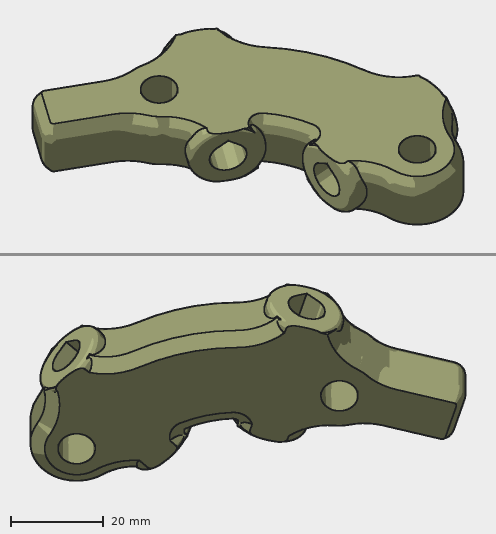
import cadquery as cq
import math

thickness = 15.11
pivot_offset = 29.2
pivot_hole_diameter = 8.0
lobe_radius = 10.0
hollow_radius = 12.5

hub = (0.0, -27.0)
barrel_tilt = 30.0
barrel_radius = 8.65
barrel_rim_radius = 1.5
barrel_start = 22.3
barrel_end = 53.45
bore_radius = 4.1
bore_apex_height = 5.05

neck_overshoot = 3.0
neck_setback = 0.5

crown_radius = 49.2
arch_radius = 25.75
arch_side = 6.8
arch_corner_radius = 1.0

shoulder_angle = 45.0
belly_hollow_x = 21.5
crown_hollow_x = 14.6

arm_angle = 210.0
arm_half_width = 7.0
arm_length = 27.0
arm_corner_radius = 2.75

edge_inset = 2.0
edge_drop = 3.1
edge_round_radius = 4.0


def polar(center, radius, angle):
    a = math.radians(angle)
    return (center[0] + radius * math.cos(a), center[1] + radius * math.sin(a))


def direction(start, end):
    return math.degrees(math.atan2(end[1] - start[1], end[0] - start[0]))


def mirrored(point):
    return (-point[0], point[1])


def barrel_point(side, along, across):
    """Point beside a barrel axis: side is +1 (right) or -1 (left), across is positive outward."""
    tilt = math.radians(barrel_tilt)
    x = along * math.sin(tilt) + across * math.cos(tilt)
    y = along * math.cos(tilt) - across * math.sin(tilt)
    return (hub[0] + side * x, hub[1] + y)


def hollow_end(center, along, outward):
    """Point of a right-hand hollow at a given distance along the right barrel axis."""
    tilt = math.radians(barrel_tilt)
    dx = center[0] - hub[0]
    dy = center[1] - hub[1]
    center_along = dx * math.sin(tilt) + dy * math.cos(tilt)
    center_across = dx * math.cos(tilt) - dy * math.sin(tilt)
    half_chord = math.sqrt(hollow_radius**2 - (along - center_along) ** 2)
    return barrel_point(1, along, center_across - outward * half_chord)


def bend(path, center, radius, end, start):
    """Arc to end about center, through the middle of the shorter way round from start."""
    a = direction(center, start)
    sweep = (direction(center, end) - a + 180) % 360 - 180
    return path.threePointArc(polar(center, radius, a + sweep / 2), end)


def plate_outline():
    pivot = (pivot_offset, 0.0)
    left_pivot = mirrored(pivot)
    reach = lobe_radius + hollow_radius
    neck_top = barrel_end + neck_overshoot
    neck_bottom = barrel_start - neck_overshoot

    shoulder = polar(pivot, reach, shoulder_angle)
    belly = (belly_hollow_x, -math.sqrt(reach**2 - (pivot_offset - belly_hollow_x) ** 2))
    crown_reach = crown_radius + hollow_radius
    saddle = (crown_hollow_x, hub[1] + math.sqrt(crown_reach**2 - crown_hollow_x**2))
    arm_spread = math.degrees(math.asin((arm_half_width + hollow_radius) / reach))
    armpit_top = polar(left_pivot, reach, arm_angle - arm_spread)
    armpit_bottom = polar(left_pivot, reach, arm_angle + arm_spread)

    corner_reach = arch_radius - arch_corner_radius
    corner_across = arch_side + arch_corner_radius
    corner_along = math.sqrt(corner_reach**2 - corner_across**2)
    arch_corner = barrel_point(1, corner_along, -corner_across)
    arch_end = polar(hub, arch_radius, direction(hub, arch_corner))
    corner_end = barrel_point(1, corner_along, -arch_side)
    arch_neck = barrel_point(1, neck_bottom, -arch_side)
    belly_start = hollow_end(belly, neck_bottom, 1)
    lobe_start = polar(pivot, lobe_radius, direction(pivot, belly))
    lobe_end = polar(pivot, lobe_radius, shoulder_angle)
    shoulder_end = hollow_end(shoulder, neck_top, 1)
    saddle_start = hollow_end(saddle, neck_top, -1)
    crown_start = polar(hub, crown_radius, direction(hub, saddle))
    lobe_top = polar(left_pivot, lobe_radius, direction(left_pivot, armpit_top))
    lobe_bottom = polar(left_pivot, lobe_radius, direction(left_pivot, armpit_bottom))
    arm_top = polar(armpit_top, hollow_radius, arm_angle + 90)
    arm_bottom = polar(armpit_bottom, hollow_radius, arm_angle - 90)
    arm_tip = polar(left_pivot, arm_length, arm_angle)

    path = cq.Workplane("XY").workplane(offset=-thickness / 2).moveTo(*mirrored(arch_neck))
    path = path.lineTo(*mirrored(corner_end))
    path = bend(path, mirrored(arch_corner), arch_corner_radius, mirrored(arch_end), mirrored(corner_end))
    path = bend(path, hub, arch_radius, arch_end, mirrored(arch_end))
    path = bend(path, arch_corner, arch_corner_radius, corner_end, arch_end)
    path = path.lineTo(*arch_neck)
    path = path.lineTo(*belly_start)
    path = bend(path, belly, hollow_radius, lobe_start, belly_start)
    path = bend(path, pivot, lobe_radius, lobe_end, lobe_start)
    path = bend(path, shoulder, hollow_radius, shoulder_end, lobe_end)
    path = path.lineTo(*saddle_start)
    path = bend(path, saddle, hollow_radius, crown_start, saddle_start)
    path = bend(path, hub, crown_radius, mirrored(crown_start), crown_start)
    path = bend(path, mirrored(saddle), hollow_radius, mirrored(saddle_start), mirrored(crown_start))
    path = path.lineTo(*mirrored(shoulder_end))
    path = bend(path, mirrored(shoulder), hollow_radius, mirrored(lobe_end), mirrored(shoulder_end))
    path = bend(path, left_pivot, lobe_radius, lobe_top, mirrored(lobe_end))
    path = bend(path, armpit_top, hollow_radius, arm_top, lobe_top)
    path = path.lineTo(*polar(arm_tip, arm_half_width, arm_angle - 90))
    path = path.lineTo(*polar(arm_tip, arm_half_width, arm_angle + 90))
    path = path.lineTo(*arm_bottom)
    path = bend(path, armpit_bottom, hollow_radius, lobe_bottom, arm_bottom)
    path = bend(path, left_pivot, lobe_radius, mirrored(lobe_start), lobe_bottom)
    path = bend(path, mirrored(belly), hollow_radius, mirrored(belly_start), mirrored(lobe_start))
    return path.close()


def rounded_plate():
    plate = plate_outline().extrude(thickness)
    tip = polar((-pivot_offset, 0.0), arm_length, arm_angle)
    for turn in (-90, 90):
        corner = polar(tip, arm_half_width, arm_angle + turn)
        nearest = cq.selectors.NearestToPointSelector((*corner, 0.0))
        plate = plate.edges(nearest).fillet(arm_corner_radius)
    for face in (">Z", "<Z"):
        plate = plate.faces(face).edges().chamfer(edge_drop, edge_inset)
    for side in (1, -1):
        plate = plate.cut(neck_trim(side))
    for side in (1, -1):
        height = side * (thickness / 2 - edge_drop)
        plate = plate.edges(level_band(height)).fillet(edge_round_radius)
    return plate


def neck_trim(side):
    """Two blocks that cut the overlong necks just short of both barrel faces."""
    depth = 2 * neck_overshoot
    middle = (barrel_end - barrel_start) / 2
    inset = middle - neck_setback + depth / 2
    centers = [(0, 0, middle - inset), (0, 0, middle + inset)]
    blocks = cq.Workplane(barrel_plane(side)).pushPoints(centers)
    return blocks.box(2 * barrel_radius, 2 * thickness, depth)


def level_band(height):
    """Selects the edges lying wholly at one height."""
    margin = 0.01
    span = 2 * barrel_end
    low = (-span, -span, height - margin)
    high = (span, span, height + margin)
    return cq.selectors.BoxSelector(low, high, boundingbox=True)


def barrel_plane(side):
    """Plane across the barrel axis at its inner end, with local Y pointing up."""
    tilt = math.radians(barrel_tilt)
    origin = (*barrel_point(side, barrel_start, 0), 0)
    along = (side * math.sin(tilt), math.cos(tilt), 0)
    across = (-math.cos(tilt), side * math.sin(tilt), 0)
    return cq.Plane(origin=origin, xDir=across, normal=along)


def barrel(side):
    """Tube with rounded rims, flattened level with the plate's top and bottom."""
    length = barrel_end - barrel_start
    tube = cq.Workplane(barrel_plane(side)).circle(barrel_radius).extrude(length)
    tube = tube.faces("%PLANE").edges().fillet(barrel_rim_radius)
    slab = cq.Workplane("XY").box(4 * barrel_end, 4 * barrel_end, thickness)
    return tube.intersect(slab)


def bore(side):
    """Teardrop through a barrel: a circle with tangents meeting at a peak above it."""
    touch_height = bore_radius**2 / bore_apex_height
    touch_half_width = math.sqrt(bore_radius**2 - touch_height**2)
    return (
        cq.Workplane(barrel_plane(side))
        .moveTo(touch_half_width, touch_height)
        .threePointArc((0, -bore_radius), (-touch_half_width, touch_height))
        .lineTo(0, bore_apex_height)
        .close()
        .extrude(barrel_end - barrel_start)
    )


def pivot_holes():
    return (
        cq.Workplane("XY")
        .pushPoints([(-pivot_offset, 0), (pivot_offset, 0)])
        .circle(pivot_hole_diameter / 2)
        .extrude(thickness / 2, both=True)
    )


body = rounded_plate()
for side in (1, -1):
    body = body.union(barrel(side))
for side in (1, -1):
    body = body.cut(bore(side))
result = body.cut(pivot_holes())